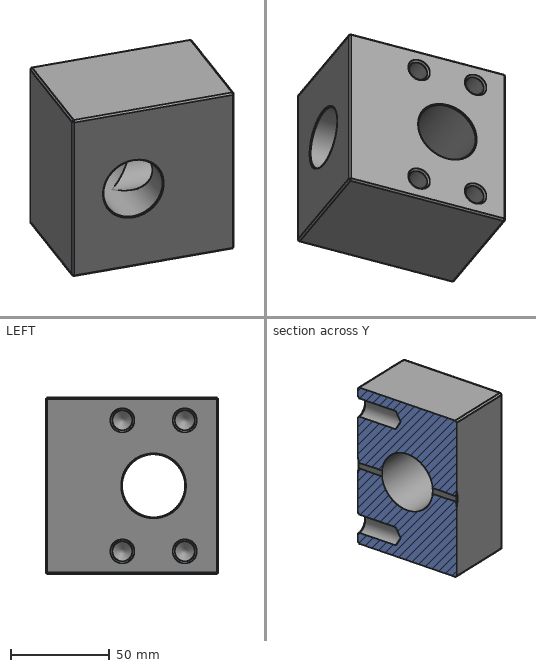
import cadquery as cq
import math

width = 63.0
depth = 88.0
height = 90.0
edge_chamfer = 1.0

bore_diameter = 32.0
bore_chamfer = 0.5
bore_y = -11.0

hole_diameter = 10.2
hole_mouth_diameter = 12.2
hole_depth = 24.0
hole_tip_angle = 118.0
hole_spacing_y = 31.8
hole_spacing_z = 66.7


def make_block():
    return cq.Workplane("XY").box(width, depth, height).edges().chamfer(edge_chamfer)


def revolve_about_x(profile, y, z):
    """Turn an (x, radius) profile about X and move its axis to (y, z)."""
    solid = cq.Workplane("XY").polyline(profile).close().revolve(360, (0, 0, 0), (1, 0, 0))
    return solid.translate((0, y, z))


def make_bore():
    """Through bore with a small chamfer at both mouths."""
    end = width / 2
    radius = bore_diameter / 2
    mouth_radius = radius + bore_chamfer
    profile = [
        (-end, 0),
        (-end, mouth_radius),
        (-end + bore_chamfer, radius),
        (end - bore_chamfer, radius),
        (end, mouth_radius),
        (end, 0),
    ]
    return revolve_about_x(profile, bore_y, 0)


def make_side_bore():
    """Bore from the +Y face to the through bore's axis, chamfered at its mouth."""
    face = depth / 2
    radius = bore_diameter / 2
    profile = [
        (0, bore_y),
        (radius, bore_y),
        (radius, face - bore_chamfer),
        (radius + bore_chamfer, face),
        (0, face),
    ]
    return cq.Workplane("XY").polyline(profile).close().revolve(360, (0, 0, 0), (0, 1, 0))


def make_blind_hole(y, z):
    """Drilled hole with a 45 degree countersink and a conical bottom."""
    face = -width / 2
    radius = hole_diameter / 2
    mouth_radius = hole_mouth_diameter / 2
    tip_length = radius / math.tan(math.radians(hole_tip_angle / 2))
    profile = [
        (face, 0),
        (face, mouth_radius),
        (face + mouth_radius - radius, radius),
        (face + hole_depth, radius),
        (face + hole_depth + tip_length, 0),
    ]
    return revolve_about_x(profile, y, z)


result = make_block().cut(make_bore()).cut(make_side_bore())
for y_side in (-1, 1):
    for z_side in (-1, 1):
        hole_y = bore_y + y_side * hole_spacing_y / 2
        hole_z = z_side * hole_spacing_z / 2
        result = result.cut(make_blind_hole(hole_y, hole_z))